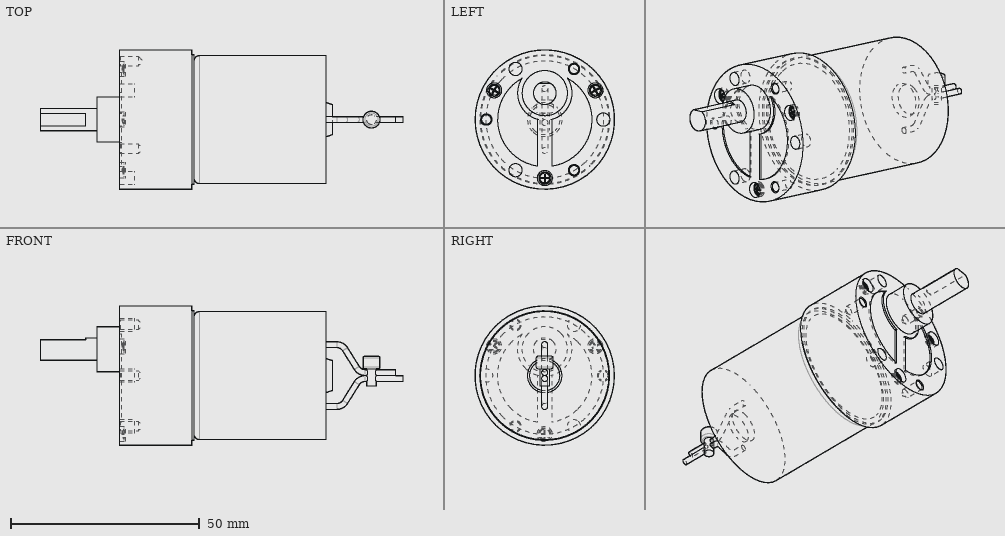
import cadquery as cq
import math


gearbox_radius = 18.5
gearbox_length = 19.2
collar_radius = 17.2
collar_length = 0.6
motor_radius = 17.0
motor_front_round = 1.4
motor_rear = 54.8
rear_boss_base_radius = 4.55
rear_boss_tip_radius = 4.0
rear_boss_length = 1.7

shaft_offset = 7.0
shaft_radius = 3.0
shaft_boss_radius = 6.0
shaft_boss_length = 6.0
shaft_tip = 21.0
shaft_flat_length = 12.0
shaft_flat_depth = 0.5

recess_radius = 12.5
recess_depth = 0.5
rim_radius = 7.2
web_width = 3.8

hole_circle_radius = 15.5
plain_hole_angles = (60, 180, 300)
tapped_hole_angles = (0, 120, 240)
screw_angles = (30, 150, 270)
plain_hole_diameter = 3.5
plain_hole_depth = 4.0
tapped_hole_diameter = 2.5
tapped_mouth_diameter = 3.0
tapped_hole_depth = 5.0
drill_point_angle = 90.0

screw_bore_diameter = 4.0
screw_bore_depth = 1.6
screw_head_diameter = 3.2
screw_head_side = 0.4
screw_dome_diameter = 2.6
screw_dome_height = 0.5
cross_slot_width = 0.3
cross_slot_length = 2.0
cross_slot_depth = 0.6

wire_radius = 0.8
wire_spread = 8.2
wire_bend_start = 57.6
wire_bend_radius = 2.6
wire_bend_angle = math.radians(58)
upper_wire_end = 73.2
lower_wire_end = 75.22
wire_embed = 1.0

pin_x = 66.8
pin_radius = 1.3
pin_bottom = -2.8
pin_head_radius = 2.25
pin_head_bottom = 1.8
pin_head_top = 5.15
pin_head_round = 0.5


def cylinder_x(radius, x_start, x_end, z=0.0):
    """Cylinder parallel to X between two X positions."""
    return cq.Workplane("YZ", origin=(x_start, 0, z)).circle(radius).extrude(x_end - x_start)


def at_hole_circle(tool, angles):
    """Copies of a tool built around the X axis, moved onto the hole circle."""
    copies = cq.Workplane("XY")
    for angle in angles:
        lifted = tool.translate((0, hole_circle_radius, 0))
        copies = copies.add(lifted.rotate((0, 0, 0), (1, 0, 0), angle))
    return copies.combine()


def make_body():
    collar_end = gearbox_length + collar_length
    front_corner_radius = motor_radius - motor_front_round
    arc_mid_offset = motor_front_round * (1 - math.sqrt(0.5))
    profile = (
        cq.Workplane("XY")
        .lineTo(0, gearbox_radius)
        .lineTo(gearbox_length, gearbox_radius)
        .lineTo(gearbox_length, collar_radius)
        .lineTo(collar_end, collar_radius)
        .lineTo(collar_end, front_corner_radius)
        .threePointArc(
            (collar_end + arc_mid_offset, motor_radius - arc_mid_offset),
            (collar_end + motor_front_round, motor_radius),
        )
        .lineTo(motor_rear, motor_radius)
        .lineTo(motor_rear, rear_boss_base_radius)
        .lineTo(motor_rear + rear_boss_length, rear_boss_tip_radius)
        .lineTo(motor_rear + rear_boss_length, 0)
        .close()
    )
    return profile.revolve(360, (0, 0, 0), (1, 0, 0))


def make_face_recess():
    recess = cylinder_x(recess_radius, 0, recess_depth)
    rim = cylinder_x(rim_radius, 0, recess_depth, shaft_offset)
    web = cq.Workplane("XY", origin=(0, 0, -recess_radius))
    web = web.box(recess_depth, web_width, recess_radius, centered=(False, True, False))
    return recess.cut(rim).cut(web)


def make_shaft():
    boss = cylinder_x(shaft_boss_radius, -shaft_boss_length, 0, shaft_offset)
    shaft = cylinder_x(shaft_radius, -shaft_tip, 0, shaft_offset)
    flat = cq.Workplane("XY").box(
        shaft_flat_length, 2 * shaft_radius, shaft_flat_depth, centered=(False, True, False)
    )
    flat_bottom = shaft_offset + shaft_radius - shaft_flat_depth
    return shaft.cut(flat.translate((-shaft_tip, 0, flat_bottom))).union(boss)


def make_tapped_hole():
    radius = tapped_hole_diameter / 2
    mouth_radius = tapped_mouth_diameter / 2
    point_depth = radius / math.tan(math.radians(drill_point_angle / 2))
    profile = cq.Workplane("XY").polyline([
        (0, 0),
        (0, mouth_radius),
        (mouth_radius - radius, radius),
        (tapped_hole_depth, radius),
        (tapped_hole_depth + point_depth, 0),
    ]).close()
    return profile.revolve(360, (0, 0, 0), (1, 0, 0))


def make_screw_head():
    dome_radius = screw_dome_diameter / 2
    side_top = screw_bore_depth - screw_head_side
    crown = side_top - screw_dome_height
    sphere_radius = (dome_radius ** 2 + screw_dome_height ** 2) / (2 * screw_dome_height)
    sphere = cq.Workplane("XY").sphere(sphere_radius).translate((crown + sphere_radius, 0, 0))
    dome = cylinder_x(dome_radius, crown, screw_bore_depth).intersect(sphere)
    head = cylinder_x(screw_head_diameter / 2, side_top, screw_bore_depth).union(dome)
    slot = cq.Workplane("XY").box(
        cross_slot_depth, cross_slot_length, cross_slot_width, centered=(False, True, True)
    ).translate((crown, 0, 0))
    return head.cut(slot).cut(slot.rotate((0, 0, 0), (1, 0, 0), 90))


def make_wire(side, end_x):
    """Wire in the XZ plane; side is +1 for the upper wire and -1 for the lower one."""
    radius = wire_bend_radius
    bend_run = radius * math.sin(wire_bend_angle)
    bend_drop = radius * (1 - math.cos(wire_bend_angle))
    half_run = radius * math.sin(wire_bend_angle / 2)
    half_drop = radius * (1 - math.cos(wire_bend_angle / 2))
    slope_drop = wire_spread - wire_radius - 2 * bend_drop
    slope_run = slope_drop / math.tan(wire_bend_angle)
    slope_start = wire_bend_start + bend_run
    slope_end = slope_start + slope_run
    second_bend_end = slope_end + bend_run
    start_x = motor_rear - wire_embed
    path = (
        cq.Workplane("XZ")
        .moveTo(start_x, side * wire_spread)
        .lineTo(wire_bend_start, side * wire_spread)
        .threePointArc(
            (wire_bend_start + half_run, side * (wire_spread - half_drop)),
            (slope_start, side * (wire_spread - bend_drop)),
        )
        .lineTo(slope_end, side * (wire_radius + bend_drop))
        .threePointArc(
            (second_bend_end - half_run, side * (wire_radius + half_drop)),
            (second_bend_end, side * wire_radius),
        )
        .lineTo(end_x, side * wire_radius)
    )
    section = cq.Workplane("YZ", origin=(start_x, 0, side * wire_spread)).circle(wire_radius)
    return section.sweep(path)


def make_pin():
    pin = cq.Workplane("XY", origin=(pin_x, 0, pin_bottom)).circle(pin_radius)
    pin = pin.extrude(pin_head_top - pin_head_round - pin_bottom)
    head = cq.Workplane("XY", origin=(pin_x, 0, pin_head_bottom)).circle(pin_head_radius)
    head = head.extrude(pin_head_top - pin_head_bottom).edges().fillet(pin_head_round)
    return pin.union(head)


plain_hole = cylinder_x(plain_hole_diameter / 2, 0, plain_hole_depth)
screw_bore = cylinder_x(screw_bore_diameter / 2, 0, screw_bore_depth)

result = make_body().cut(make_face_recess())
result = result.cut(at_hole_circle(plain_hole, plain_hole_angles))
result = result.cut(at_hole_circle(make_tapped_hole(), tapped_hole_angles))
result = result.cut(at_hole_circle(screw_bore, screw_angles))
result = result.union(at_hole_circle(make_screw_head(), screw_angles))
result = result.union(make_shaft())
result = result.union(make_pin())
result = result.union(make_wire(1, upper_wire_end))
result = result.union(make_wire(-1, lower_wire_end))